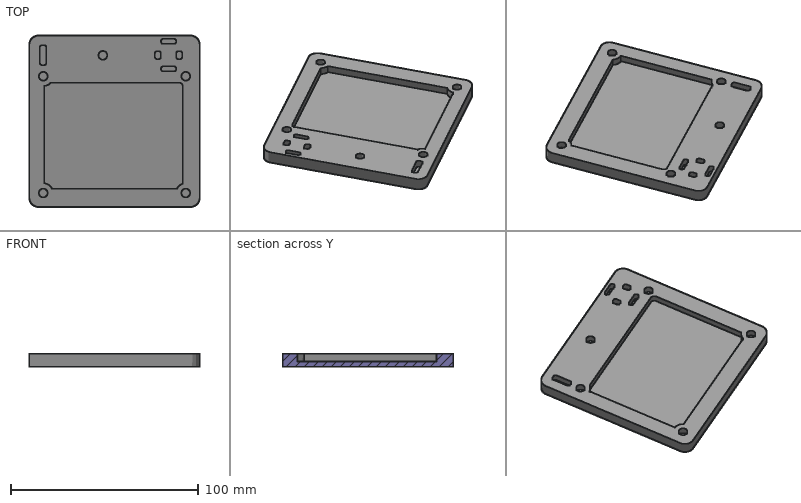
import cadquery as cq

plate_width = 91.0
plate_length = 91.6
plate_height = 7.0
plate_corner_radius = 5.0

recess_depth = 4.0
floor_z = plate_height - recess_depth

hole_diameter = 4.7
corner_hole_x = 38.0
upper_hole_y = 24.0
lower_hole_y = -38.3
single_hole = (-6.2, 35.2)

pocket_left = -37.55
pocket_right = 36.45
pocket_bottom = -36.1
pocket_top = 20.6
pocket_corner_radius = 2.0
hole_wall_radius = 5.2

side_slot_center = (-38.1, 35.3)
side_slot_width = 3.5
side_slot_length = 10.6

cluster_x = 28.85
cluster_y = 35.3
long_slot_length = 8.15
long_slot_width = 2.7
long_slot_offset = 7.3
short_slot_length = 4.2
short_slot_width = 3.2
short_slot_offset = 5.7

slot_corner_radius = 1.2


def slot(width, length, center, corner_radius):
    """Rounded slot volume from the recess floor up to the plate's top face."""
    return (
        cq.Workplane("XY", origin=(*center, floor_z))
        .rect(width, length)
        .extrude(recess_depth)
        .edges("|Z")
        .fillet(corner_radius)
    )


def cylinders(centers, radius):
    """Cylinders from the recess floor up to the plate's top face."""
    return (
        cq.Workplane("XY", origin=(0, 0, floor_z))
        .pushPoints(centers)
        .circle(radius)
        .extrude(recess_depth)
    )


def pocket():
    """Rectangle with one rounded corner and three corners curving around holes."""
    width = pocket_right - pocket_left
    length = pocket_top - pocket_bottom
    center = ((pocket_left + pocket_right) / 2, (pocket_bottom + pocket_top) / 2)
    block = (
        cq.Workplane("XY", origin=(*center, floor_z))
        .rect(width, length)
        .extrude(recess_depth)
        .edges("|Z and >X and >Y")
        .fillet(pocket_corner_radius)
    )
    walled_holes = [
        (-corner_hole_x, upper_hole_y),
        (-corner_hole_x, lower_hole_y),
        (corner_hole_x, lower_hole_y),
    ]
    return block.cut(cylinders(walled_holes, hole_wall_radius))


def holes():
    """Four corner holes and the single hole near the far edge."""
    centers = [(x, y) for x in (-corner_hole_x, corner_hole_x) for y in (lower_hole_y, upper_hole_y)]
    return cylinders(centers + [single_hole], hole_diameter / 2)


plate = (
    cq.Workplane("XY")
    .rect(plate_width, plate_length)
    .extrude(plate_height)
    .edges("|Z")
    .fillet(plate_corner_radius)
)

result = plate.cut(pocket()).cut(holes())
result = result.cut(slot(side_slot_width, side_slot_length, side_slot_center, slot_corner_radius))

for side in (-1, 1):
    long_center = (cluster_x, cluster_y + side * long_slot_offset)
    short_center = (cluster_x + side * short_slot_offset, cluster_y)
    result = result.cut(slot(long_slot_length, long_slot_width, long_center, slot_corner_radius))
    result = result.cut(slot(short_slot_width, short_slot_length, short_center, slot_corner_radius))